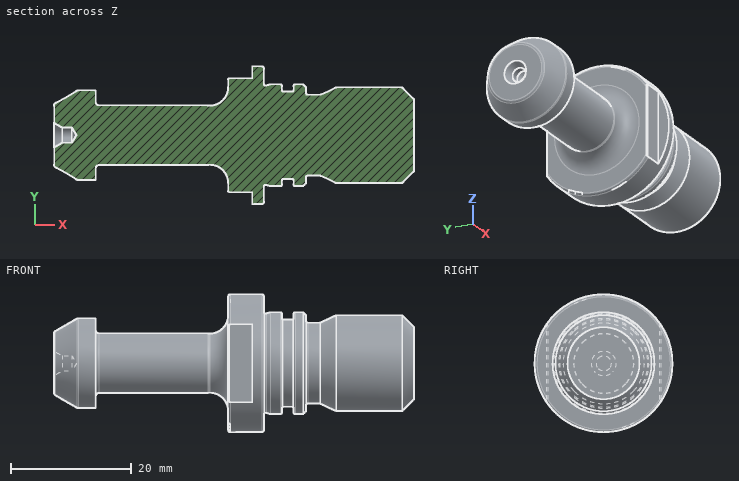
import cadquery as cq
import math


head_radius = 15.0 / 2
head_cone_start = 3.95
head_cone_angle = math.radians(30.0)
head_back = 7.0
head_edge_round = 0.5
head_back_round = 0.2
head_root_round = 0.5

shank_radius = 10.0 / 2
shank_relief_radius = 9.9 / 2
shank_relief_taper = 0.2
shank_relief_length = 0.2
flange_blend = 3.0

flange_radius = 23.0 / 2
flange_front = 29.0
flange_back = 35.0
flange_edge_round = 0.4
flat_width = 19.0
flat_length = 4.0
flat_edge_chamfer = 0.2

collar_radius = 17.0 / 2
collar_neck_radius = 16.6 / 2
collar_neck_round = 0.15
collar_neck_length = 0.35
collar_start = 36.0
collar_end = 42.0
collar_end_chamfer = 0.5
groove_radius = 14.6 / 2
groove_front = 38.0
groove_back = 39.9
groove_lip_round = 0.3
groove_floor_round = 0.2

relief_radius = 13.5 / 2
relief_root_round = 0.3
thread_radius = 16.0 / 2
thread_start = 47.0
relief_cone_angle = math.radians(25.0)
thread_end_chamfer = 2.0
total_length = 60.0

hole_radius = 2.5 / 2
hole_depth = 3.0
countersink_radius = 4.1 / 2
countersink_half_angle = math.radians(30.0)
drill_tip_half_angle = math.radians(59.0)


def revolve_about_x(outline):
    """Close an (X, radius) outline and turn it about the X axis."""
    return outline.close().revolve(360, (0, 0, 0), (1, 0, 0))


def round_to(outline, end_x, end_radius, turn_radius):
    """Add an arc; a positive turn_radius curves anticlockwise."""
    return outline.radiusArc((end_x, end_radius), -turn_radius)


def add_head_and_shank(outline):
    cone_cos = math.cos(head_cone_angle)
    cone_sin = math.sin(head_cone_angle)
    tip_radius = head_radius - head_cone_start * math.tan(head_cone_angle)

    tip_tangent = head_edge_round * math.tan((math.pi / 2 - head_cone_angle) / 2)
    rim_tangent = head_edge_round * math.tan(head_cone_angle / 2)

    outline = outline.lineTo(0, tip_radius - tip_tangent)
    outline = round_to(
        outline, tip_tangent * cone_cos, tip_radius + tip_tangent * cone_sin, -head_edge_round
    )
    outline = outline.lineTo(
        head_cone_start - rim_tangent * cone_cos, head_radius - rim_tangent * cone_sin
    )
    outline = round_to(outline, head_cone_start + rim_tangent, head_radius, -head_edge_round)
    outline = outline.lineTo(head_back - head_back_round, head_radius)
    outline = round_to(outline, head_back, head_radius - head_back_round, -head_back_round)
    outline = outline.lineTo(head_back, shank_radius + head_root_round)
    outline = round_to(outline, head_back + head_root_round, shank_radius, head_root_round)

    blend_start = flange_front - flange_blend
    relief_start = blend_start - shank_relief_length
    outline = (
        outline.lineTo(relief_start - shank_relief_taper, shank_radius)
        .lineTo(relief_start, shank_relief_radius)
        .lineTo(blend_start, shank_relief_radius)
    )
    return round_to(outline, flange_front, shank_relief_radius + flange_blend, flange_blend)


def add_flange(outline):
    edge_radius = flange_radius - flange_edge_round
    outline = outline.lineTo(flange_front, edge_radius)
    outline = round_to(outline, flange_front + flange_edge_round, flange_radius, -flange_edge_round)
    outline = outline.lineTo(flange_back - flange_edge_round, flange_radius)
    return round_to(outline, flange_back, edge_radius, -flange_edge_round)


def add_collar(outline):
    outline = outline.lineTo(flange_back, collar_neck_radius + collar_neck_round)
    outline = round_to(outline, flange_back + collar_neck_round, collar_neck_radius, collar_neck_round)
    outline = (
        outline.lineTo(flange_back + collar_neck_length, collar_neck_radius)
        .lineTo(collar_start, collar_radius)
        .lineTo(groove_front - groove_lip_round, collar_radius)
    )
    outline = round_to(outline, groove_front, collar_radius - groove_lip_round, -groove_lip_round)
    outline = outline.lineTo(groove_front, groove_radius + groove_floor_round)
    outline = round_to(outline, groove_front + groove_floor_round, groove_radius, groove_floor_round)
    outline = outline.lineTo(groove_back - groove_floor_round, groove_radius)
    outline = round_to(outline, groove_back, groove_radius + groove_floor_round, groove_floor_round)
    outline = outline.lineTo(groove_back, collar_radius - groove_lip_round)
    outline = round_to(outline, groove_back + groove_lip_round, collar_radius, -groove_lip_round)
    return (
        outline.lineTo(collar_end - collar_end_chamfer, collar_radius)
        .lineTo(collar_end, collar_radius - collar_end_chamfer)
    )


def add_thread_body(outline):
    outline = outline.lineTo(collar_end, relief_radius + relief_root_round)
    outline = round_to(outline, collar_end + relief_root_round, relief_radius, relief_root_round)
    cone_length = (thread_radius - relief_radius) / math.tan(relief_cone_angle)
    return (
        outline.lineTo(thread_start - cone_length, relief_radius)
        .lineTo(thread_start, thread_radius)
        .lineTo(total_length - thread_end_chamfer, thread_radius)
        .lineTo(total_length, thread_radius - thread_end_chamfer)
        .lineTo(total_length, 0)
    )


def turned_body():
    outline = cq.Workplane("XZ").moveTo(0, 0)
    outline = add_head_and_shank(outline)
    outline = add_flange(outline)
    outline = add_collar(outline)
    outline = add_thread_body(outline)
    return revolve_about_x(outline)


def flat_cutter(side):
    """Prism outside one wrench flat with its front edge chamfer; side is +1 or -1 along Y."""
    half_width = flat_width / 2
    flat_end = flange_front + flat_length
    return (
        cq.Workplane("XY")
        .moveTo(flange_front, side * (half_width - flat_edge_chamfer))
        .lineTo(flange_front + flat_edge_chamfer, side * half_width)
        .lineTo(flat_end, side * half_width)
        .lineTo(flat_end, side * flange_radius)
        .lineTo(flange_front, side * flange_radius)
        .close()
        .extrude(flange_radius, both=True)
    )


def centre_hole():
    countersink_depth = (countersink_radius - hole_radius) / math.tan(countersink_half_angle)
    tip_length = hole_radius / math.tan(drill_tip_half_angle)
    outline = (
        cq.Workplane("XY")
        .moveTo(0, 0)
        .lineTo(0, countersink_radius)
        .lineTo(countersink_depth, hole_radius)
        .lineTo(hole_depth, hole_radius)
        .lineTo(hole_depth + tip_length, 0)
    )
    return revolve_about_x(outline)


result = turned_body()
for flat_side in (1, -1):
    result = result.cut(flat_cutter(flat_side))
result = result.cut(centre_hole())